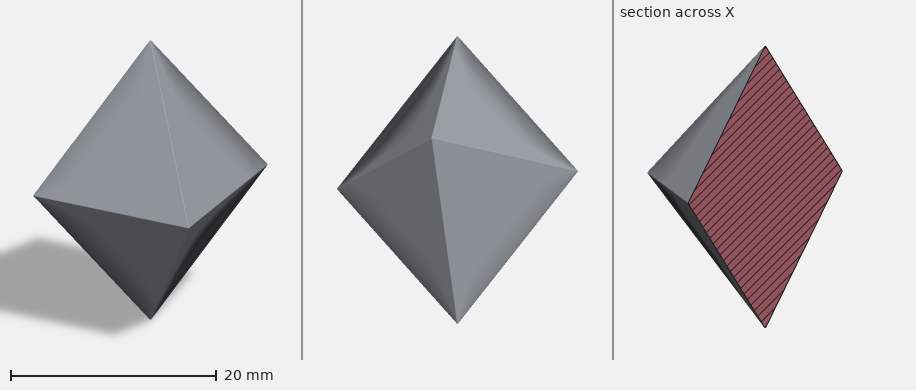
import cadquery as cq
import math

height = 29.8
width = 16.98
edge_radius = 0.1

core_half_height = height / 2 - edge_radius
core_half_width = width / 2 - edge_radius
face_tilt = math.atan(core_half_width / core_half_height)

sharp_half_height = core_half_height + edge_radius / math.sin(face_tilt)
sharp_half_width = core_half_width + edge_radius / math.cos(face_tilt)


def triangle_face(points):
    """Flat triangular face through three corners."""
    outline = cq.Wire.makePolygon([cq.Vector(*point) for point in points], close=True)
    return cq.Face.makeFromWires(outline)


def square_bipyramid(half_width, half_height):
    """Two square pyramids sharing their base in the XY plane, with tips on Z."""
    base_corners = [
        (-half_width, -half_width, 0),
        (half_width, -half_width, 0),
        (half_width, half_width, 0),
        (-half_width, half_width, 0),
    ]
    faces = []
    for tip in ((0, 0, half_height), (0, 0, -half_height)):
        for index, corner in enumerate(base_corners):
            previous_corner = base_corners[index - 1]
            faces.append(triangle_face([previous_corner, corner, tip]))
    return cq.Workplane(cq.Solid.makeSolid(cq.Shell.makeShell(faces)))


sharp_body = square_bipyramid(sharp_half_width, sharp_half_height)

result = sharp_body.edges().fillet(edge_radius)